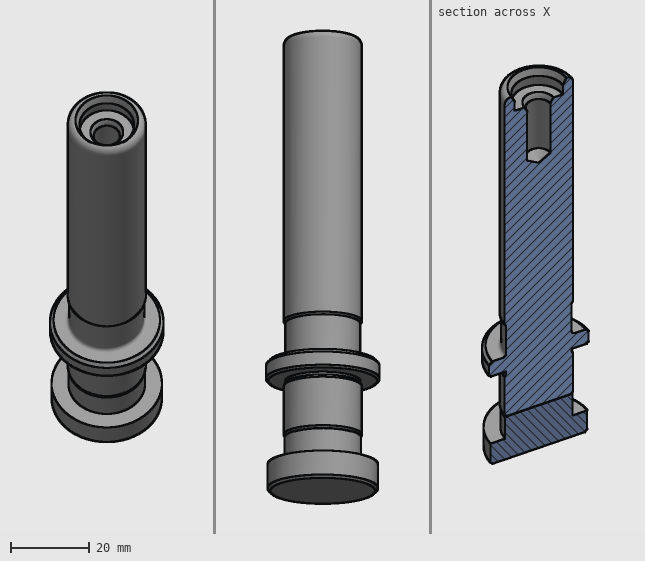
import cadquery as cq
import math

SHAFT_DIAMETER = 20.0
NECK_DIAMETER = 19.2
FLANGE_DIAMETER = 29.0

TOP_Z = 119.0
SHAFT_BOTTOM_Z = 44.6
FLANGE_TOP_Z = 33.9
FLANGE_BOTTOM_Z = 28.9
LAND_TOP_Z = 27.5
PIN_BOTTOM_Z = 14.0

TOP_FILLET = 2.0
SHAFT_STEP_HEIGHT = 0.6
FLANGE_CHAMFER = 1.0
FLANGE_BOTTOM_CHAMFER = 0.6
NECK_FILLET = 1.0
LAND_STEP_HEIGHT = 0.7
PIN_END_CHAMFER = 0.7

BORE_DIAMETER = 13.9
BORE_CONE_DEPTH = 2.0
BORE_DEPTH = 5.0
HOLE_DIAMETER = 6.7
HOLE_MOUTH_DIAMETER = 8.3
HOLE_UPPER_CONE_DEPTH = 0.8
HOLE_WAIST_DIAMETER = 7.4
HOLE_LOWER_CONE_DEPTH = 0.8
HOLE_DEPTH = 17.8
DRILL_POINT_ANGLE = 118.0

BASE_DIAMETER = 28.2
BASE_HEIGHT = 7.0
BASE_CHAMFER = 0.7
STEM_DIAMETER = 19.6

SHAFT_RADIUS = SHAFT_DIAMETER / 2
NECK_RADIUS = NECK_DIAMETER / 2
FLANGE_RADIUS = FLANGE_DIAMETER / 2
BORE_MOUTH_RADIUS = SHAFT_RADIUS - TOP_FILLET


def make_pin_blank():
    """Solid flanged pin, revolved from its half section in the XZ plane."""
    fillet_diagonal = TOP_FILLET * math.sqrt(0.5)
    neck_arc_offset = NECK_FILLET * (1 - math.sqrt(0.5))
    return (
        cq.Workplane("XZ")
        .moveTo(0, PIN_BOTTOM_Z)
        .lineTo(SHAFT_RADIUS - PIN_END_CHAMFER, PIN_BOTTOM_Z)
        .lineTo(SHAFT_RADIUS, PIN_BOTTOM_Z + PIN_END_CHAMFER)
        .lineTo(SHAFT_RADIUS, LAND_TOP_Z)
        .lineTo(NECK_RADIUS, LAND_TOP_Z + LAND_STEP_HEIGHT)
        .lineTo(NECK_RADIUS, FLANGE_BOTTOM_Z)
        .lineTo(FLANGE_RADIUS - FLANGE_BOTTOM_CHAMFER, FLANGE_BOTTOM_Z)
        .lineTo(FLANGE_RADIUS, FLANGE_BOTTOM_Z + FLANGE_BOTTOM_CHAMFER)
        .lineTo(FLANGE_RADIUS, FLANGE_TOP_Z - FLANGE_CHAMFER)
        .lineTo(FLANGE_RADIUS - FLANGE_CHAMFER, FLANGE_TOP_Z)
        .lineTo(NECK_RADIUS + NECK_FILLET, FLANGE_TOP_Z)
        .threePointArc(
            (NECK_RADIUS + neck_arc_offset, FLANGE_TOP_Z + neck_arc_offset),
            (NECK_RADIUS, FLANGE_TOP_Z + NECK_FILLET),
        )
        .lineTo(NECK_RADIUS, SHAFT_BOTTOM_Z - SHAFT_STEP_HEIGHT)
        .lineTo(SHAFT_RADIUS, SHAFT_BOTTOM_Z)
        .lineTo(SHAFT_RADIUS, TOP_Z - TOP_FILLET)
        .threePointArc(
            (BORE_MOUTH_RADIUS + fillet_diagonal, TOP_Z - TOP_FILLET + fillet_diagonal),
            (BORE_MOUTH_RADIUS, TOP_Z),
        )
        .lineTo(0, TOP_Z)
        .close()
        .revolve(360, (0, 0), (0, 1))
    )


def make_bore():
    """Conical mouth, counterbore and drilled hole with a two-step tapered entry and a pointed end."""
    bore_radius = BORE_DIAMETER / 2
    hole_radius = HOLE_DIAMETER / 2
    bore_floor_z = TOP_Z - BORE_DEPTH
    waist_z = bore_floor_z - HOLE_UPPER_CONE_DEPTH
    hole_bottom_z = bore_floor_z - HOLE_DEPTH
    point_depth = hole_radius / math.tan(math.radians(DRILL_POINT_ANGLE / 2))
    return (
        cq.Workplane("XZ")
        .moveTo(0, TOP_Z)
        .lineTo(BORE_MOUTH_RADIUS, TOP_Z)
        .lineTo(bore_radius, TOP_Z - BORE_CONE_DEPTH)
        .lineTo(bore_radius, bore_floor_z)
        .lineTo(HOLE_MOUTH_DIAMETER / 2, bore_floor_z)
        .lineTo(HOLE_WAIST_DIAMETER / 2, waist_z)
        .lineTo(hole_radius, waist_z - HOLE_LOWER_CONE_DEPTH)
        .lineTo(hole_radius, hole_bottom_z)
        .lineTo(0, hole_bottom_z - point_depth)
        .close()
        .revolve(360, (0, 0), (0, 1))
    )


def make_base():
    """Round foot with a stem that meets the lower end of the pin."""
    foot = (
        cq.Workplane("XY")
        .circle(BASE_DIAMETER / 2)
        .extrude(BASE_HEIGHT)
        .faces("<Z")
        .chamfer(BASE_CHAMFER)
    )
    stem = (
        cq.Workplane("XY")
        .workplane(offset=BASE_HEIGHT)
        .circle(STEM_DIAMETER / 2)
        .extrude(PIN_BOTTOM_Z - BASE_HEIGHT)
    )
    return foot.union(stem)


guide_pin = make_pin_blank().cut(make_bore())
base = make_base()

result = cq.Compound.makeCompound([guide_pin.val(), base.val()])